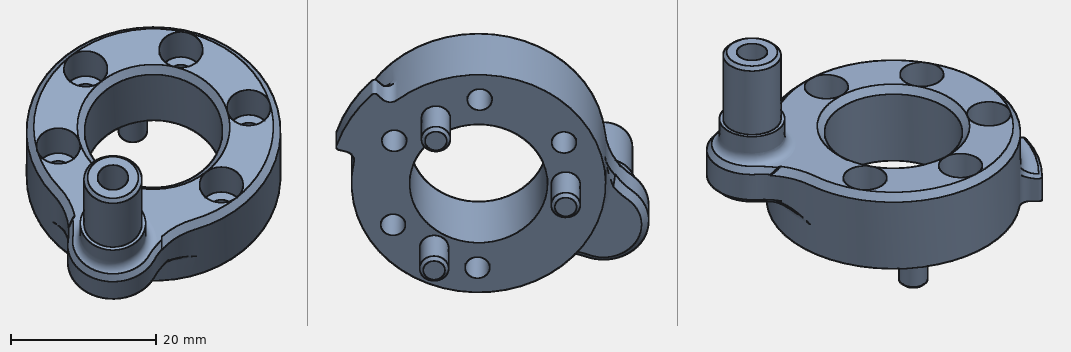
import cadquery as cq
import math

RING_RADIUS = 17.5
RING_HEIGHT = 12.0
BORE_RADIUS = 9.5
EDGE_CHAMFER = 1.0

SCREW_CIRCLE_RADIUS = 13.5
SCREW_ANGLES = (-30, 30, 90, 150, 210)
SCREW_HOLE_RADIUS = 1.7
COUNTERBORE_RADIUS = 3.0
COUNTERBORE_DEPTH = 6.0

PIN_COUNT = 3
PIN_CIRCLE_RADIUS = 12.0
PIN_RADIUS = 2.0
PIN_LENGTH = 6.0
PIN_CHAMFER = 0.5

EAR_Y = -20.0
EAR_RADIUS = 6.25
EAR_BLEND_RADIUS = 10.0
EAR_UNDERSIDE_Z = 6.0
EAR_UNDERSIDE_FILLET = 1.5

COLLAR_RADIUS = 4.5
COLLAR_HEIGHT = 4.25
COLLAR_FILLET = 1.5
POST_RADIUS = 4.0
POST_LENGTH = 11.0
POST_CHAMFER = 0.5
POST_HOLE_RADIUS = 2.1
POST_HOLE_DEPTH = POST_LENGTH
EAR_RIM_WIDTH = 0.7
EAR_RIM_HEIGHT = 0.93
EAR_RIM_RISE = 0.15
EAR_RIM_REACH = 6.75
FLARE_ROOT_DEPTH = 3.0

TAB_RADIUS = 20.5
TAB_HALF_ANGLE = math.radians(15)
TAB_HEIGHT = 4.25
TAB_CORNER_RADIUS = 0.5
TAB_FLANK_FILLET = 1.5
TAB_TOP_FILLET = 2.0
TAB_CHAMFER = 0.49

RUNOUT_SECTIONS = 6
RUNOUT_END_SIZE = 0.01

UNDERSIDE_FILLET_REACH = RING_RADIUS + EAR_UNDERSIDE_FILLET
UNDERSIDE_FILLET_Z = EAR_UNDERSIDE_Z - EAR_UNDERSIDE_FILLET


def mirrored(point):
    return (-point[0], point[1])


def cylinder(radius, height, z=0.0, center=(0.0, 0.0)):
    return cq.Workplane("XY", origin=(*center, z)).circle(radius).extrude(height)


def revolved(profile, center=(0.0, 0.0)):
    """Revolve a profile drawn as (radius, z) around a vertical axis."""
    return profile.close().revolve(360, (0, 0, 0), (0, 1, 0)).translate((*center, 0))


def arc_middle(center, radius, start, end):
    """Middle of the minor arc between two points of a circle."""
    dx = (start[0] + end[0]) / 2 - center[0]
    dy = (start[1] + end[1]) / 2 - center[1]
    stretch = radius / math.hypot(dx, dy)
    return (center[0] + dx * stretch, center[1] + dy * stretch)




def ear_blend_center():
    """Center of the +X blend arc, which touches ring and ear from outside."""
    ring_reach = RING_RADIUS + EAR_BLEND_RADIUS
    ear_reach = EAR_RADIUS + EAR_BLEND_RADIUS
    y = (ring_reach**2 - ear_reach**2 + EAR_Y**2) / (2 * EAR_Y)
    return (math.sqrt(ring_reach**2 - y**2), y)


def ear_blend_point(angle, inset=0.0):
    """Point on the +X blend arc, or inset from it into the ear."""
    center = ear_blend_center()
    reach = EAR_BLEND_RADIUS + inset
    return (center[0] + reach * math.cos(angle), center[1] + reach * math.sin(angle))


def ear_blend_ring_angle():
    center = ear_blend_center()
    return math.atan2(-center[1], -center[0])


def ear_blend_ear_angle():
    center = ear_blend_center()
    return math.atan2(EAR_Y - center[1], -center[0])


def ear_prism(z, height, taper=0.0):
    """Ear outline: round tip and concave blends, closed by straight lines inside the ring."""
    on_ring = ear_blend_point(ear_blend_ring_angle())
    on_ear = ear_blend_point(ear_blend_ear_angle())
    blend_middle = arc_middle(ear_blend_center(), EAR_BLEND_RADIUS, on_ring, on_ear)
    return (
        cq.Workplane("XY", origin=(0, 0, z))
        .moveTo(*on_ring)
        .threePointArc(blend_middle, on_ear)
        .threePointArc((0, EAR_Y - EAR_RADIUS), mirrored(on_ear))
        .threePointArc(mirrored(blend_middle), mirrored(on_ring))
        .lineTo(0, 0)
        .close()
        .extrude(height, taper=taper)
    )


def underside_z(point):
    """Height of the ear's underside, including its fillet to the ring, at a point."""
    run = UNDERSIDE_FILLET_REACH - math.hypot(*point)
    run = min(max(run, 0.0), EAR_UNDERSIDE_FILLET)
    return UNDERSIDE_FILLET_Z + math.sqrt(EAR_UNDERSIDE_FILLET**2 - run**2)


def underside_fillet():
    middle = EAR_UNDERSIDE_FILLET / math.sqrt(2)
    profile = (
        cq.Workplane("XZ")
        .moveTo(BORE_RADIUS, UNDERSIDE_FILLET_Z)
        .lineTo(RING_RADIUS, UNDERSIDE_FILLET_Z)
        .threePointArc(
            (UNDERSIDE_FILLET_REACH - middle, UNDERSIDE_FILLET_Z + middle),
            (UNDERSIDE_FILLET_REACH, EAR_UNDERSIDE_Z),
        )
        .lineTo(UNDERSIDE_FILLET_REACH, RING_HEIGHT)
        .lineTo(BORE_RADIUS, RING_HEIGHT)
    )
    outline = ear_prism(UNDERSIDE_FILLET_Z, RING_HEIGHT - UNDERSIDE_FILLET_Z)
    return revolved(profile).intersect(outline)


def chamfer_start_angle():
    """Blend angle where the chamfer's inner edge reaches the underside fillet."""
    center = ear_blend_center()
    reach = EAR_BLEND_RADIUS + EDGE_CHAMFER
    distance = math.hypot(*center)
    cosine = (reach**2 + distance**2 - UNDERSIDE_FILLET_REACH**2) / (2 * reach * distance)
    return ear_blend_ring_angle() + math.acos(cosine)


def chamfer_runout():
    """Cutter that fades the underside chamfer to nothing where the +X blend meets the ring."""
    start = chamfer_start_angle()
    end = ear_blend_ring_angle()
    sections = []
    for step in range(RUNOUT_SECTIONS):
        fraction = step / (RUNOUT_SECTIONS - 1)
        angle = start + (end - start) * fraction
        size = max(EDGE_CHAMFER * (1 - fraction) ** 2, RUNOUT_END_SIZE)
        wall = ear_blend_point(angle)
        inset = ear_blend_point(angle, size)
        wall_z = underside_z(wall) + size
        inset_z = underside_z(inset)
        outside = ear_blend_point(angle, -size)
        corners = [
            cq.Vector(*inset, inset_z),
            cq.Vector(*outside, 2 * wall_z - inset_z),
            cq.Vector(*outside, inset_z - size),
            cq.Vector(*inset, inset_z - size),
        ]
        sections.append(cq.Wire.makePolygon(corners, close=True))
    return cq.Workplane(cq.Solid.makeLoft(sections))


def ring_and_ear():
    ear = ear_prism(EAR_UNDERSIDE_Z, RING_HEIGHT - EAR_UNDERSIDE_Z)
    ear = ear.faces("<Z").edges("%CIRCLE").chamfer(EDGE_CHAMFER)
    ear = ear.union(underside_fillet())
    runout = chamfer_runout()
    ear = ear.cut(runout).cut(runout.mirror("YZ"))
    body = cylinder(RING_RADIUS, RING_HEIGHT).union(ear)
    return body.faces(">Z").edges().chamfer(EDGE_CHAMFER)




def collar_flare():
    """Concave fillet from collar to ear, trimmed by the raised chamfer along the ear's rim."""
    collar_reach = COLLAR_RADIUS + COLLAR_FILLET
    middle = COLLAR_FILLET / math.sqrt(2)
    root_z = RING_HEIGHT - FLARE_ROOT_DEPTH
    flare_top = RING_HEIGHT + COLLAR_FILLET
    profile = (
        cq.Workplane("XZ")
        .moveTo(0, root_z)
        .lineTo(EAR_RIM_REACH, root_z)
        .lineTo(EAR_RIM_REACH, RING_HEIGHT)
        .lineTo(collar_reach, RING_HEIGHT)
        .threePointArc((collar_reach - middle, flare_top - middle), (COLLAR_RADIUS, flare_top))
        .lineTo(0, flare_top)
    )
    rim_z = RING_HEIGHT - EDGE_CHAMFER + EAR_RIM_RISE
    rim_inner_radius = EAR_RADIUS - EAR_RIM_WIDTH
    rim_taper = math.degrees(math.atan2(EAR_RIM_WIDTH, EAR_RIM_HEIGHT))
    return revolved(profile, (0, EAR_Y)).intersect(
        ear_prism(root_z, rim_z - root_z)
        .union(ear_prism(rim_z, EAR_RIM_HEIGHT, rim_taper))
        .union(cylinder(rim_inner_radius, COLLAR_HEIGHT, RING_HEIGHT, (0, EAR_Y)))
    )


def crank_post():
    post_z = RING_HEIGHT + COLLAR_HEIGHT
    axis = (0, EAR_Y)
    collar = cylinder(COLLAR_RADIUS, COLLAR_HEIGHT, RING_HEIGHT, axis)
    post = cylinder(POST_RADIUS, POST_LENGTH, post_z, axis).faces(">Z").chamfer(POST_CHAMFER)
    hole_z = post_z + POST_LENGTH - POST_HOLE_DEPTH
    hole = cylinder(POST_HOLE_RADIUS, POST_HOLE_DEPTH, hole_z, axis)
    return collar_flare().union(collar).union(post).cut(hole)




def flank_point(along, beside):
    """Point at a distance along the +X flank from the ring axis, and beside it away from the tab."""
    sine = math.sin(TAB_HALF_ANGLE)
    cosine = math.cos(TAB_HALF_ANGLE)
    return (along * sine + beside * cosine, along * cosine - beside * sine)


def tab_prism(height):
    """Tab outline: radial flanks, rounded outer corners and concave fillets to the ring."""
    fillet_reach = RING_RADIUS + TAB_FLANK_FILLET
    fillet_along = math.sqrt(fillet_reach**2 - TAB_FLANK_FILLET**2)
    fillet_center = flank_point(fillet_along, TAB_FLANK_FILLET)
    to_ring = RING_RADIUS / fillet_reach
    on_ring = (fillet_center[0] * to_ring, fillet_center[1] * to_ring)
    flank_start = flank_point(fillet_along, 0)

    corner_reach = TAB_RADIUS - TAB_CORNER_RADIUS
    corner_along = math.sqrt(corner_reach**2 - TAB_CORNER_RADIUS**2)
    corner_center = flank_point(corner_along, -TAB_CORNER_RADIUS)
    to_tip = TAB_RADIUS / corner_reach
    on_tip = (corner_center[0] * to_tip, corner_center[1] * to_tip)
    flank_end = flank_point(corner_along, 0)

    fillet_middle = arc_middle(fillet_center, TAB_FLANK_FILLET, on_ring, flank_start)
    corner_middle = arc_middle(corner_center, TAB_CORNER_RADIUS, flank_end, on_tip)
    return (
        cq.Workplane("XY")
        .moveTo(*on_ring)
        .threePointArc(fillet_middle, flank_start)
        .lineTo(*flank_end)
        .threePointArc(corner_middle, on_tip)
        .threePointArc((0, TAB_RADIUS), mirrored(on_tip))
        .threePointArc(mirrored(corner_middle), mirrored(flank_end))
        .lineTo(*mirrored(flank_start))
        .threePointArc(mirrored(fillet_middle), mirrored(on_ring))
        .lineTo(0, BORE_RADIUS)
        .close()
        .extrude(height)
    )


def pointer_tab():
    fillet_top = TAB_HEIGHT + TAB_TOP_FILLET
    fillet_reach = RING_RADIUS + TAB_TOP_FILLET
    middle = TAB_TOP_FILLET / math.sqrt(2)
    profile = (
        cq.Workplane("XZ")
        .moveTo(BORE_RADIUS, 0)
        .lineTo(TAB_RADIUS, 0)
        .lineTo(TAB_RADIUS, TAB_HEIGHT)
        .lineTo(fillet_reach, TAB_HEIGHT)
        .threePointArc((fillet_reach - middle, fillet_top - middle), (RING_RADIUS, fillet_top))
        .lineTo(BORE_RADIUS, fillet_top)
    )
    tab = tab_prism(fillet_top).intersect(revolved(profile))
    tip_edge = cq.selectors.NearestToPointSelector((0, TAB_RADIUS, TAB_HEIGHT))
    return tab.edges(tip_edge).chamfer(TAB_CHAMFER)




def cut_screw_holes(body):
    counterbore_z = RING_HEIGHT - COUNTERBORE_DEPTH
    for angle in SCREW_ANGLES:
        turn = math.radians(angle)
        center = (SCREW_CIRCLE_RADIUS * math.cos(turn), SCREW_CIRCLE_RADIUS * math.sin(turn))
        body = body.cut(cylinder(SCREW_HOLE_RADIUS, RING_HEIGHT, 0, center))
        body = body.cut(cylinder(COUNTERBORE_RADIUS, COUNTERBORE_DEPTH, counterbore_z, center))
    return body


def cut_bore(body):
    mouth_radius = BORE_RADIUS + EDGE_CHAMFER
    profile = (
        cq.Workplane("XZ")
        .lineTo(BORE_RADIUS, 0)
        .lineTo(BORE_RADIUS, RING_HEIGHT - EDGE_CHAMFER)
        .lineTo(mouth_radius, RING_HEIGHT)
        .lineTo(0, RING_HEIGHT)
    )
    return body.cut(revolved(profile))


def add_drive_pins(body):
    pin = cylinder(PIN_RADIUS, PIN_LENGTH, -PIN_LENGTH, (PIN_CIRCLE_RADIUS, 0))
    pin = pin.faces("<Z").chamfer(PIN_CHAMFER)
    for index in range(PIN_COUNT):
        body = body.union(pin.rotate((0, 0, 0), (0, 0, 1), 360 * index / PIN_COUNT))
    return body


result = ring_and_ear()
result = result.union(crank_post())
result = result.union(pointer_tab())
result = cut_screw_holes(result)
result = cut_bore(result)
result = add_drive_pins(result)